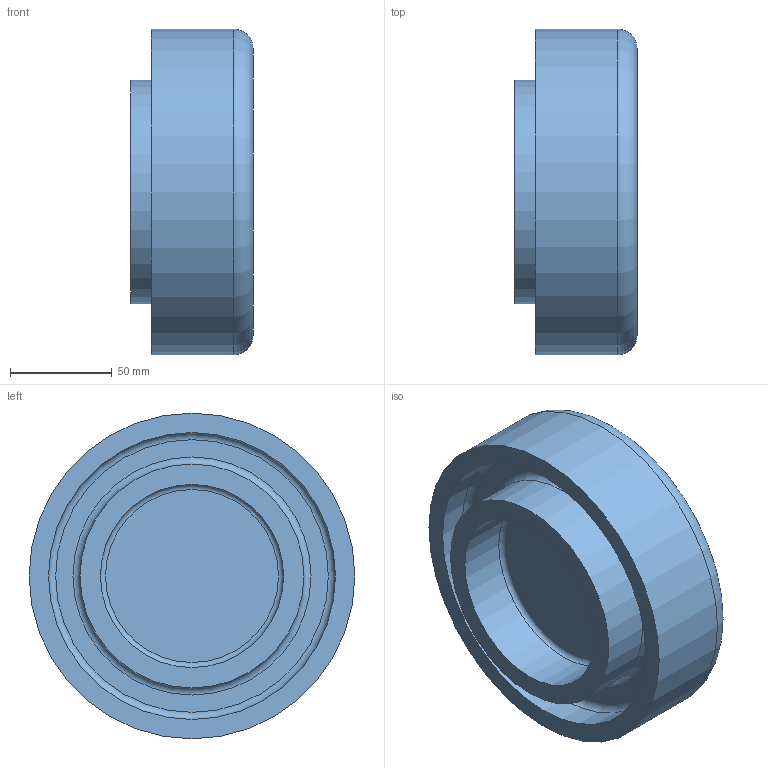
import cadquery as cq

total_length = 60.0
hub_projection = 10.0
groove_floor = 27.0
bore_depth = 26.0

rim_diameter = 160.0
groove_diameter = 141.0
hub_diameter = 110.0
bore_diameter = 90.0

outer_edge_radius = 9.5
groove_floor_radius = 3.5
bore_floor_radius = 2.5


def cylinder_along_x(diameter, start, end):
    """Solid cylinder on the X axis between two X positions."""
    return cq.Workplane("YZ", origin=(start, 0, 0)).circle(diameter / 2).extrude(end - start)


def make_disc():
    """Main disc with a rounded rim on its closed face."""
    disc = cylinder_along_x(rim_diameter, hub_projection, total_length)
    return disc.faces(">X").edges().fillet(outer_edge_radius)


def make_hub():
    """Hub standing out of the disc and reaching down to the groove floor."""
    return cylinder_along_x(hub_diameter, 0, groove_floor)


def make_groove():
    """Annular recess around the hub, with both floor corners rounded."""
    outer = cylinder_along_x(groove_diameter, hub_projection, groove_floor)
    inner = cylinder_along_x(hub_diameter, hub_projection, groove_floor)
    return outer.cut(inner).faces(">X").edges().fillet(groove_floor_radius)


def make_bore():
    """Blind bore in the hub, with a rounded floor corner."""
    bore = cylinder_along_x(bore_diameter, 0, bore_depth)
    return bore.faces(">X").edges().fillet(bore_floor_radius)


result = make_disc().cut(make_groove()).union(make_hub()).cut(make_bore())